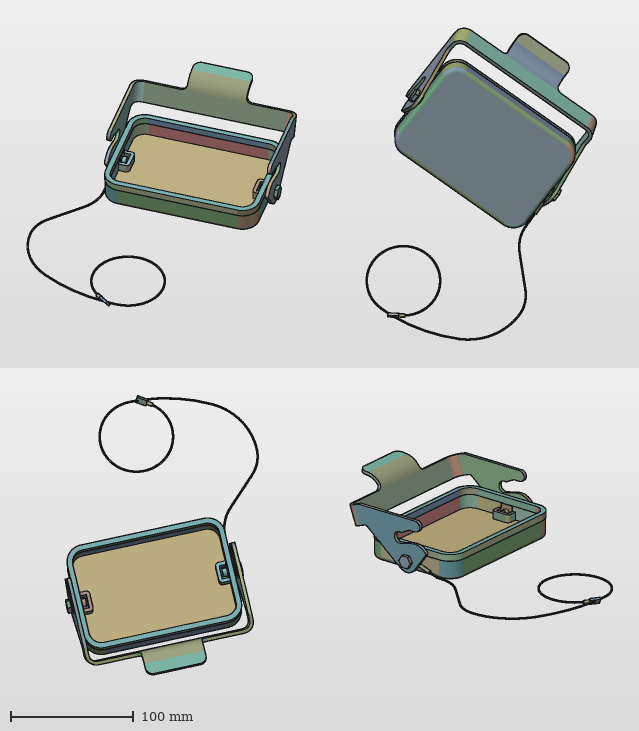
import cadquery as cq
import math


TRAY_LENGTH = 131.5
TRAY_WIDTH = 89.7
TRAY_HEIGHT = 22.7
TRAY_WALL = 4.5
TRAY_FLOOR = 5.0
RIM_HEIGHT = 6.0
RIM_STEP = 0.2
TRAY_CORNER_RADIUS = 14.5
TRAY_BOTTOM_FILLET = 3.5

SOCKET_DEPTH = 9.0
SOCKET_WIDTH = 17.5
SOCKET_HEIGHT = 7.0
SOCKET_WALL = 3.0
SOCKET_CORNER_RADIUS = 3.0
SOCKET_PAD_THICKNESS = 0.7

SHEET = 3.0
BAIL_WIDTH = 140.4
BEND_RADIUS = 9.2
PIVOT_HEIGHT = 9.2
PIVOT_EYE_RADIUS = 10.0
BACK_TILT = 20.0
BACK_HEIGHT = 18.0
BACK_FOOT = (57.7, 24.7)
SIDE_TOP = 46.7
BACK_EDGE_ANGLE = 38.6
FRONT_EDGE_ANGLE = 54.0
FRONT_EDGE_LENGTH = 20.7
NOTCH_CENTER = (7.7, 28.2)
NOTCH_RADIUS = 5.0
NOTCH_FLOOR_ANGLE = 12.3
NOTCH_FLOOR_LENGTH = 12.2
NOTCH_ROOF_LENGTH = 2.5
FINGER_CENTER_Y = -8.7
FINGER_RADIUS = 4.7
FINGER_FLAT_LENGTH = 5.7
HEEL_ROUND = 2.0
SHOULDER_ROUND = 5.0
BEAK_ROUND = 1.7
RAMP_START_ROUND = 3.7
RAMP_END_ROUND = 5.0

TAB_WIDTH = 50.7
TAB_BEND_RADIUS = 14.0
TAB_END_SLOPE = 7.0
TAB_END_Y = 85.2
TAB_CORNER_RADIUS = 6.2
TAB_ROOT_RADIUS = 5.0

HEAD_FLATS = 10.2
HEAD_THICKNESS = 3.0
BUSH_DIAMETER = 10.0
BOLT_DIAMETER = 6.7
BOLT_REACH = 4.5

CORD_RADIUS = 0.62
CORD_Z = 0.87
CORD_X = -(TRAY_LENGTH / 2 + 0.7)
CORD_KNEE = (-21.2, 3.5)
CORD_LANDING_Y = -28.7
CORD_LEAVING_Y = -32.2
CORD_TURN_RADIUS = 32.5
CORD_FAR_X = -108.1
CORD_FAR_RADIUS = 29.5
CORD_SWEEP_RADIUS = 51.2
RING_CENTER = (-14.7, -131.4)
RING_RADIUS = 30.0

SLEEVE_RADIUS = 1.5
ANCHOR_SLEEVE_LENGTH = 11.2
RING_END_ANGLE = 236.0
RING_SLEEVE_LENGTH = 5.0
CLAMP_LENGTH = 9.0
CLAMP_THICKNESS = 2.2
CLAMP_HEIGHT = 5.7
CLAMP_ROLL = 34.0


def unit(angle):
    """Unit vector at an angle in degrees."""
    return math.cos(math.radians(angle)), math.sin(math.radians(angle))


def along(start, direction, distance):
    """Point at a distance from start along a direction."""
    return start[0] + direction[0] * distance, start[1] + direction[1] * distance


def crossing(start_a, direction_a, start_b, direction_b):
    """Point where two lines meet."""
    gap = (start_b[0] - start_a[0], start_b[1] - start_a[1])
    turn = direction_a[0] * direction_b[1] - direction_a[1] * direction_b[0]
    return along(start_a, direction_a, (gap[0] * direction_b[1] - gap[1] * direction_b[0]) / turn)


def block(x_range, y_range, z_range):
    """Box between the given limits."""
    size = [limits[1] - limits[0] for limits in (x_range, y_range, z_range)]
    return cq.Workplane("XY").box(*size, centered=False).translate((x_range[0], y_range[0], z_range[0]))


def mirrored(shape):
    """The shape together with its mirror image in X."""
    return shape.union(shape.mirror("YZ"))


BACK_UP = unit(90 - BACK_TILT)
BACK_IN = unit(180 - BACK_TILT)
BACK_TOP = along(BACK_FOOT, BACK_UP, BACK_HEIGHT)
PIVOT = (0.0, PIVOT_HEIGHT)
RIM_BOTTOM = TRAY_HEIGHT - RIM_HEIGHT
RING_END = along(RING_CENTER, unit(RING_END_ANGLE), RING_RADIUS)
INNER_WALL_X = TRAY_LENGTH / 2 - TRAY_WALL + RIM_STEP


def rounded_slab(inset, bottom, top):
    """Slab with the tray's rounded plan, inset all round from the rim's outer edge."""
    return (
        cq.Workplane("XY", origin=(0, 0, bottom))
        .rect(TRAY_LENGTH - 2 * inset, TRAY_WIDTH - 2 * inset)
        .extrude(top - bottom)
        .edges("|Z")
        .fillet(TRAY_CORNER_RADIUS - inset)
    )


def make_tray():
    """Open tray whose rim stands slightly proud of the wall below it, outside and inside."""
    body = rounded_slab(RIM_STEP, 0, RIM_BOTTOM).faces("<Z").edges().fillet(TRAY_BOTTOM_FILLET)
    rim = rounded_slab(0, RIM_BOTTOM, TRAY_HEIGHT)
    cavity = rounded_slab(TRAY_WALL - RIM_STEP, TRAY_FLOOR, RIM_BOTTOM)
    opening = rounded_slab(TRAY_WALL, RIM_BOTTOM, TRAY_HEIGHT)
    return body.union(rim).cut(cavity).cut(opening).union(mirrored(make_socket()))


def make_socket():
    """Open-topped bolt socket on the +X end wall, with a thin pad on the wall behind it."""
    half_width = SOCKET_WIDTH / 2
    half_pocket = half_width - SOCKET_WALL
    tip_x = INNER_WALL_X - SOCKET_DEPTH
    heights = (TRAY_FLOOR, TRAY_FLOOR + SOCKET_HEIGHT)
    outside = block((tip_x, INNER_WALL_X), (-half_width, half_width), heights)
    outside = outside.edges("|Z and <X").fillet(SOCKET_CORNER_RADIUS)
    pocket = block((tip_x + SOCKET_WALL, INNER_WALL_X), (-half_pocket, half_pocket), heights)
    pad = block(
        (INNER_WALL_X - SOCKET_PAD_THICKNESS, INNER_WALL_X),
        (-half_pocket, half_pocket),
        (TRAY_FLOOR, RIM_BOTTOM),
    )
    return outside.cut(pocket).union(pad)


def make_side_profile():
    """Side outline of the bail as a solid over its full width, with its corners rounded."""
    back_edge = unit(BACK_EDGE_ANGLE)
    back_tangent = along(PIVOT, unit(BACK_EDGE_ANGLE - 90), PIVOT_EYE_RADIUS)
    heel = crossing(BACK_FOOT, BACK_IN, back_tangent, back_edge)
    shoulder = crossing(BACK_TOP, BACK_IN, (0, SIDE_TOP), (1, 0))

    front_tangent = along(PIVOT, unit(270 - FRONT_EDGE_ANGLE), PIVOT_EYE_RADIUS)
    beak = along(front_tangent, unit(180 - FRONT_EDGE_ANGLE), FRONT_EDGE_LENGTH)

    floor_tangent = along(NOTCH_CENTER, unit(270 - NOTCH_FLOOR_ANGLE), NOTCH_RADIUS)
    floor_end = along(floor_tangent, unit(180 - NOTCH_FLOOR_ANGLE), NOTCH_FLOOR_LENGTH)
    notch_back = along(NOTCH_CENTER, (1, 0), NOTCH_RADIUS)
    notch_top = along(NOTCH_CENTER, (0, 1), NOTCH_RADIUS)
    ramp_start = along(notch_top, (-1, 0), NOTCH_ROOF_LENGTH)

    finger_center = (FINGER_CENTER_Y, SIDE_TOP - FINGER_RADIUS)
    finger_tip = along(finger_center, (-1, 0), FINGER_RADIUS)
    finger_bottom = along(finger_center, (0, -1), FINGER_RADIUS)
    ramp_end = along(finger_bottom, (1, 0), FINGER_FLAT_LENGTH)

    profile = (
        cq.Workplane("YZ", origin=(-BAIL_WIDTH / 2, 0, 0))
        .moveTo(*BACK_FOOT)
        .lineTo(*BACK_TOP)
        .lineTo(*shoulder)
        .lineTo(FINGER_CENTER_Y, SIDE_TOP)
        .threePointArc(finger_tip, finger_bottom)
        .lineTo(*ramp_end)
        .lineTo(*ramp_start)
        .lineTo(*notch_top)
        .threePointArc(notch_back, floor_tangent)
        .lineTo(*floor_end)
        .tangentArcPoint(beak, relative=False)
        .lineTo(*front_tangent)
        .threePointArc(along(PIVOT, (0, -1), PIVOT_EYE_RADIUS), back_tangent)
        .lineTo(*heel)
        .close()
        .extrude(BAIL_WIDTH)
    )
    rounds = (
        (heel, HEEL_ROUND),
        (shoulder, SHOULDER_ROUND),
        (beak, BEAK_ROUND),
        (ramp_start, RAMP_START_ROUND),
        (ramp_end, RAMP_END_ROUND),
    )
    for corner, radius in rounds:
        nearest = cq.selectors.NearestToPointSelector((0, *corner))
        profile = profile.edges("|X").edges(nearest).fillet(radius)
    return profile


def make_channel():
    """U-shaped sheet, standing square to the tilt of the back plate and longer than the bail."""
    reach = 100.0
    plane = cq.Plane(origin=(0, *BACK_FOOT), xDir=(1, 0, 0), normal=(0, *BACK_UP))
    outside = channel_block(plane, reach, 0)
    inside = channel_block(plane, reach, SHEET)
    return outside.cut(inside)


def channel_block(plane, reach, inset):
    """Block with two rounded corners, inset from the outer faces of the bail."""
    half = BAIL_WIDTH / 2 - inset
    radius = BEND_RADIUS - inset
    return (
        cq.Workplane(plane)
        .moveTo(-half, -reach)
        .lineTo(-half, -inset - radius)
        .radiusArc((-half + radius, -inset), radius)
        .lineTo(half - radius, -inset)
        .radiusArc((half, -inset - radius), radius)
        .lineTo(half, -reach)
        .close()
        .extrude(reach, both=True)
    )


def make_tab():
    """Thumb tab that continues the back plate and curls outward."""
    bend_center = along(BACK_TOP, BACK_IN, -TAB_BEND_RADIUS)
    outer_radius = TAB_BEND_RADIUS + SHEET
    end_angle = 90 + TAB_END_SLOPE
    middle = unit((180 - BACK_TILT + end_angle) / 2)
    lower_end = along(bend_center, unit(end_angle), TAB_BEND_RADIUS)
    upper_end = along(bend_center, unit(end_angle), outer_radius)
    slope = unit(TAB_END_SLOPE)
    length = (TAB_END_Y - lower_end[0]) / slope[0]
    half_root = TAB_WIDTH / 2 + TAB_ROOT_RADIUS
    sheet = (
        cq.Workplane("YZ", origin=(-half_root, 0, 0))
        .moveTo(*BACK_TOP)
        .threePointArc(along(bend_center, middle, TAB_BEND_RADIUS), lower_end)
        .lineTo(*along(lower_end, slope, length))
        .lineTo(*along(upper_end, slope, length))
        .lineTo(*upper_end)
        .threePointArc(along(bend_center, middle, outer_radius), along(BACK_TOP, BACK_IN, SHEET))
        .close()
        .extrude(2 * half_root)
    )
    tab = sheet.cut(mirrored(make_tab_relief()))
    return tab.faces(">Y").edges("not |X").fillet(TAB_CORNER_RADIUS)


def make_tab_relief():
    """Space beside the tab on the +X side, leaving a rounded root on the back plate's top edge."""
    reach = 50.0
    half = TAB_WIDTH / 2
    plane = cq.Plane(origin=(0, *BACK_TOP), xDir=(1, 0, 0), normal=(0, *BACK_IN))
    return (
        cq.Workplane(plane)
        .moveTo(half, reach)
        .lineTo(half, TAB_ROOT_RADIUS)
        .radiusArc((half + TAB_ROOT_RADIUS, 0), -TAB_ROOT_RADIUS)
        .lineTo(half + reach, 0)
        .lineTo(half + reach, reach)
        .close()
        .extrude(reach, both=True)
    )


def make_bail():
    """Side plates and back plate bent from one sheet, with the thumb tab."""
    return make_side_profile().intersect(make_channel()).union(make_tab())


def make_bolt():
    """Pivot bolt on the +X end: hexagonal head, bush up to the tray wall and shank into the socket."""
    plate_x = BAIL_WIDTH / 2

    def bar(start_x):
        return cq.Workplane("YZ", origin=(start_x, 0, PIVOT_HEIGHT))

    hexagon = bar(plate_x).transformed(rotate=(0, 0, 90)).polygon(6, HEAD_FLATS, circumscribed=True)
    head = hexagon.extrude(HEAD_THICKNESS)
    bush_start = TRAY_LENGTH / 2 - TRAY_WALL / 2
    bush = bar(bush_start).circle(BUSH_DIAMETER / 2).extrude(plate_x - bush_start)
    shank_start = INNER_WALL_X - BOLT_REACH
    shank = bar(shank_start).circle(BOLT_DIAMETER / 2).extrude(plate_x - shank_start)
    return head.union(bush).union(shank)


def tube(path, start, direction):
    """Round cord swept along a path."""
    plane = cq.Plane(origin=start, normal=direction)
    return cq.Workplane(plane).circle(CORD_RADIUS).sweep(path, transition="round")


def make_cord():
    """Cord from the pivot bush down to the tray's underside, round in a wide sweep and into a ring."""
    anchor = cq.Vector(CORD_X, -BUSH_DIAMETER / 2 + CORD_RADIUS, PIVOT_HEIGHT)
    knee = cq.Vector(CORD_X, *CORD_KNEE)
    landing = cq.Vector(CORD_X, CORD_LANDING_Y, CORD_Z)
    slack_path = cq.Wire.makePolygon([anchor, knee, landing])
    slack = tube(slack_path, anchor, knee - anchor)

    diagonal = math.sqrt(0.5)
    turn_end = (
        CORD_X - CORD_TURN_RADIUS * (1 - diagonal),
        CORD_LEAVING_Y - CORD_TURN_RADIUS * diagonal,
    )
    far_start_x = CORD_FAR_X + CORD_FAR_RADIUS * (1 - diagonal)
    far_start = (far_start_x, turn_end[1] - (turn_end[0] - far_start_x))
    far_end = (CORD_FAR_X, far_start[1] - CORD_FAR_RADIUS * diagonal)
    ring_bottom = along(RING_CENTER, (0, -1), RING_RADIUS)

    sweep_center = along(far_end, (1, 0), CORD_SWEEP_RADIUS)
    across = ring_bottom[0] - sweep_center[0]
    drop = sweep_center[1] - ring_bottom[1]
    last_radius = (across**2 + drop**2 - CORD_SWEEP_RADIUS**2) / (2 * (drop - CORD_SWEEP_RADIUS))
    last_center = along(ring_bottom, (0, 1), last_radius)
    leaving_angle = math.degrees(math.atan2(sweep_center[1] - last_center[1], -across))
    sweep_end = along(sweep_center, unit(leaving_angle), CORD_SWEEP_RADIUS)
    path = (
        cq.Workplane("XY", origin=(0, 0, CORD_Z))
        .moveTo(CORD_X, CORD_LANDING_Y)
        .lineTo(CORD_X, CORD_LEAVING_Y)
        .tangentArcPoint(turn_end, relative=False)
        .lineTo(*far_start)
        .tangentArcPoint(far_end, relative=False)
        .tangentArcPoint(sweep_end, relative=False)
        .tangentArcPoint(ring_bottom, relative=False)
        .tangentArcPoint(RING_END, relative=False)
    )
    run = tube(path, landing, (0, -1, 0))
    joint = cq.Workplane("XY").sphere(CORD_RADIUS).translate(landing)
    return slack.union(joint).union(run)


def make_anchor_ferrule():
    """Sleeve on the cord just below the pivot."""
    anchor = cq.Vector(CORD_X, -BUSH_DIAMETER / 2 + CORD_RADIUS, PIVOT_HEIGHT)
    knee = cq.Vector(CORD_X, *CORD_KNEE)
    plane = cq.Plane(origin=knee, normal=anchor - knee)
    return cq.Workplane(plane).circle(SLEEVE_RADIUS).extrude(ANCHOR_SLEEVE_LENGTH)


def make_ring_ferrule():
    """Sleeve and clamp in line along a tangent of the ring, closing it onto the cord."""
    heading = unit(RING_END_ANGLE + 90)
    plane = cq.Plane(origin=(*RING_END, CORD_Z), normal=(*heading, 0), xDir=(0, 0, 1))
    sleeve = cq.Workplane(plane).workplane(offset=-RING_SLEEVE_LENGTH / 2)
    sleeve = sleeve.circle(SLEEVE_RADIUS).extrude(RING_SLEEVE_LENGTH)
    clamp = cq.Workplane(plane).workplane(offset=RING_SLEEVE_LENGTH / 2)
    clamp = clamp.transformed(rotate=(0, 0, CLAMP_ROLL))
    clamp = clamp.rect(CLAMP_HEIGHT, CLAMP_THICKNESS).extrude(CLAMP_LENGTH)
    return sleeve.union(clamp)


result = (
    make_tray()
    .union(make_bail())
    .union(mirrored(make_bolt()))
    .union(make_cord())
    .union(make_anchor_ferrule())
    .union(make_ring_ferrule())
)